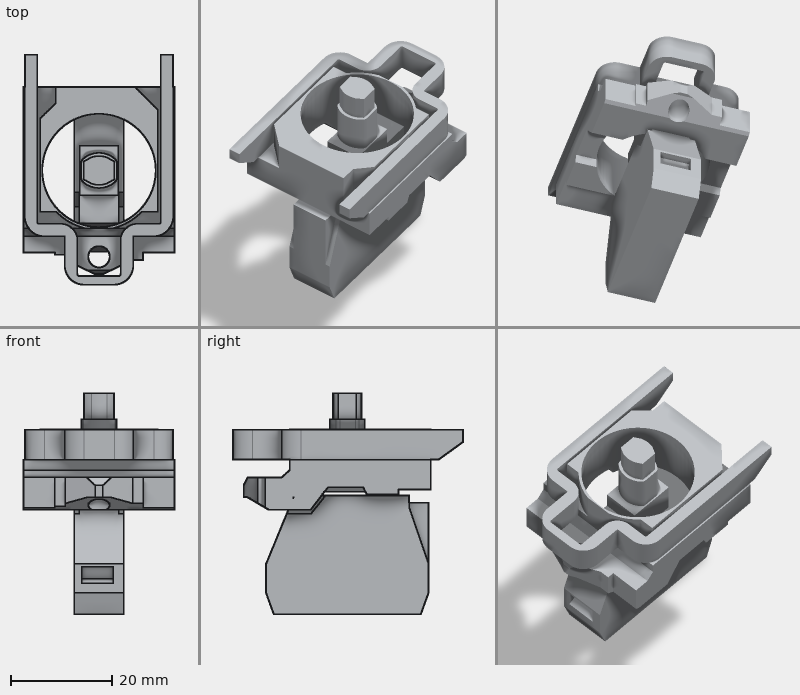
import cadquery as cq


BASE_HALF_WIDTH = 14.95
BASE_BACK = 16.5
BASE_FRONT = -11.4
HOLE_DIAMETER = 22.4
PAD_TOP = 6.05
PAD_HALF_WIDTH = 11.6
PAD_SHOULDER_Y = -8.12
PAD_RIM_RADIUS = 11.75
PAD_NOTCH_X = -8.56
PAD_NOTCH_FRONT = 13.26
PAD_NOTCH_SLOPE_END = 10.3
PAD_CHAMFER = 4.5
CHAMFER_TOP = -2.05
SHELF_TOP = -3.5
SHELF_BACK = -13.0
BASE_UNDERSIDE_BACK = -5.9
BASE_UNDERSIDE_MIDDLE = -6.9
BASE_BOTTOM = -9.9
UNDERSIDE_STEP_Y = 10.13
WINDOW_TOP = -5.43
WINDOW_BACK_BOTTOM_Y = 3.83
WINDOW_BACK_TOP_Y = 3.16
WINDOW_FRONT_TOP_Y = -3.8
BASE_BOTTOM_BACK = -7.25
BASE_BOTTOM_FRONT = -15.5
NOSE_BOTTOM = -7.4
NOSE_SLOPE_END = -19.8
NOSE_TIP = -20.5
NOSE_TIP_HALF_WIDTH = 0.77
NOSE_HALF_WIDTH = 6.63
NOSE_ROOT = -17.7
NOSE_BEVEL_START = -19.7
NOSE_BEVEL_BOTTOM = -5.05
WING_FRONT = -16.25
TAB_OUTER_X = 8.72
LEFT_TAB_FRONT = -16.7
SCREW_HOLE_DIAMETER = 4.2
SCREW_HOLE_Y = -17.05

STRAP_THICKNESS = 2.45
STRAP_HEIGHT = 5.95
STRAP_HALF_WIDTH = 14.65
STRAP_BACK = 22.88
STRAP_SHOULDER = -13.0
STRAP_FRONT = -22.6
STRAP_FRONT_THICKNESS = 1.75
STRAP_LOOP_HALF_WIDTH = 6.8
STRAP_LOOP_WALL = 2.55
STRAP_OUTER_RADIUS = 3.83
STRAP_BEND_RADIUS = 3.3
STRAP_INNER_RADIUS = 0.35
STRAP_END_HEIGHT = 2.45
STRAP_BEVEL_LENGTH = 4.85

BLOCK_HALF_WIDTH = 4.9
BLOCK_HALF_LENGTH = 16.07
BLOCK_TOP = -7.03
BLOCK_BOTTOM = -30.55
BLOCK_BOTTOM_HALF_LENGTH = 14.54
BLOCK_SIDE_TOP = -20.6
BLOCK_SIDE_BOTTOM = -26.33
BLOCK_TOP_BACK = 12.2
BLOCK_TOP_FRONT = -10.48
REAR_FACET_TOP = -9.36
REAR_RIB_TOP = -8.5
HOOK_HALF_WIDTH = 3.87
HOOK_BACK = -4.9
HOOK_TOP = SHELF_TOP
FLANK_CUT_BACK = -4.28
FLANK_CUT_KNEE = -7.2
FLANK_CUT_FLOOR = -10.72
POCKET_HALF_WIDTH = 3.15
POCKET_OFFSET_X = -0.3
POCKET_TOP = -21.1
POCKET_BOTTOM = -24.45
POCKET_VALLEY = -23.5
POCKET_DEPTH = 2.3
POCKET_CEILING_DEPTH = 1.45
PLUNGER_FOOT_HALF_WIDTH = 3.77
PLUNGER_FOOT_BACK = 4.85
PLUNGER_FOOT_BOTTOM = -6.36
PLUNGER_FOOT_TOP = 0.1
COLLAR_HALF_SIZE = 3.48
COLLAR_FLAT_END = 1.94
COLLAR_CORNER_RADIUS = 1.0
COLLAR_TOP = 8.0
STEM_HALF_WIDTH = 2.97
STEM_HALF_DEPTH = 2.84
STEM_FLAT_END = 1.8
STEM_CROWN_HALF_WIDTH = 1.5
STEM_CROWN_EDGE = 2.6
STEM_TOP = 13.15


def extrude_across(points, half_width):
    """Extrude a (Y, Z) outline symmetrically about X = 0."""
    return cq.Workplane("YZ").polyline(points).close().extrude(half_width, both=True)


def box_between(x_range, y_range, z_range):
    size = [abs(high - low) for low, high in (x_range, y_range, z_range)]
    corner = (min(x_range), min(y_range), min(z_range))
    return cq.Workplane("XY").box(*size, centered=False).translate(corner)


def base_profile_body():
    """Full-width side profile, from the shoulder down to the stepped underside."""
    return extrude_across(
        [
            (BASE_BACK, 0),
            (BASE_FRONT, 0),
            (BASE_FRONT, CHAMFER_TOP),
            (SHELF_BACK, SHELF_TOP),
            (NOSE_BEVEL_START, SHELF_TOP),
            (NOSE_TIP, NOSE_BEVEL_BOTTOM),
            (NOSE_TIP, NOSE_BOTTOM),
            (NOSE_SLOPE_END, NOSE_BOTTOM),
            (BASE_BOTTOM_FRONT, BASE_BOTTOM),
            (BASE_BOTTOM_BACK, BASE_BOTTOM),
            (WINDOW_FRONT_TOP_Y, WINDOW_TOP),
            (WINDOW_BACK_TOP_Y, WINDOW_TOP),
            (WINDOW_BACK_BOTTOM_Y, BASE_UNDERSIDE_MIDDLE),
            (UNDERSIDE_STEP_Y, BASE_UNDERSIDE_MIDDLE),
            (UNDERSIDE_STEP_Y, BASE_UNDERSIDE_BACK),
            (BASE_BACK, BASE_UNDERSIDE_BACK),
        ],
        BASE_HALF_WIDTH,
    )


def base_plan():
    """Plan outline of the base: unequal tabs beside the pointed nose."""
    outline = [
        (-BASE_HALF_WIDTH, BASE_BACK),
        (-BASE_HALF_WIDTH, WING_FRONT),
        (-TAB_OUTER_X, WING_FRONT),
        (-TAB_OUTER_X, LEFT_TAB_FRONT),
        (-NOSE_HALF_WIDTH, LEFT_TAB_FRONT),
        (-NOSE_HALF_WIDTH, NOSE_ROOT),
        (-NOSE_TIP_HALF_WIDTH, NOSE_TIP),
        (NOSE_TIP_HALF_WIDTH, NOSE_TIP),
        (NOSE_HALF_WIDTH, NOSE_ROOT),
        (TAB_OUTER_X, NOSE_ROOT),
        (TAB_OUTER_X, WING_FRONT),
        (BASE_HALF_WIDTH, WING_FRONT),
        (BASE_HALF_WIDTH, BASE_BACK),
    ]
    return cq.Workplane("XY").workplane(offset=BASE_BOTTOM).polyline(outline).close().extrude(-BASE_BOTTOM)


def base_pad():
    """Raised pad inside the strap, with a round lip around the front of the hole."""
    outline = [
        (PAD_NOTCH_X, BASE_BACK),
        (PAD_NOTCH_X, PAD_NOTCH_FRONT),
        (-PAD_HALF_WIDTH, PAD_NOTCH_SLOPE_END),
        (-PAD_HALF_WIDTH, PAD_SHOULDER_Y),
        (PAD_HALF_WIDTH, PAD_SHOULDER_Y),
        (PAD_HALF_WIDTH, BASE_BACK - PAD_CHAMFER),
        (PAD_HALF_WIDTH - PAD_CHAMFER, BASE_BACK),
    ]
    pad = cq.Workplane("XY").polyline(outline).close().extrude(PAD_TOP)
    lip_zone = box_between((-PAD_HALF_WIDTH, PAD_HALF_WIDTH), (BASE_FRONT, 0), (0, PAD_TOP))
    lip = cq.Workplane("XY").circle(PAD_RIM_RADIUS).extrude(PAD_TOP).intersect(lip_zone)
    return pad.union(lip)


def make_base(block):
    base = base_profile_body().intersect(base_plan()).union(base_pad())
    drill = cq.Workplane("XY").workplane(offset=BASE_BOTTOM)
    height = PAD_TOP - BASE_BOTTOM
    base = base.cut(drill.circle(HOLE_DIAMETER / 2).extrude(height))
    base = base.cut(drill.center(0, SCREW_HOLE_Y).circle(SCREW_HOLE_DIAMETER / 2).extrude(height))
    return base.cut(block)


def strap_prism(half_width, shoulder, front, loop_half_width):
    """Solid plan shape bounded by one face of the strap."""
    outline = [
        (-half_width, STRAP_BACK),
        (-half_width, shoulder),
        (-loop_half_width, shoulder),
        (-loop_half_width, front),
        (loop_half_width, front),
        (loop_half_width, shoulder),
        (half_width, shoulder),
        (half_width, STRAP_BACK),
    ]
    return cq.Workplane("XY").polyline(outline).close().extrude(STRAP_HEIGHT)


def round_corners(prism, half_width, shoulder, front, loop_half_width, radius):
    """Round the two shoulder corners and the two loop corners."""
    for x, y in ((half_width, shoulder), (loop_half_width, front)):
        for side in (-1, 1):
            corner = cq.selectors.NearestToPointSelector((side * x, y, STRAP_HEIGHT / 2))
            prism = prism.edges("|Z").edges(corner).fillet(radius)
    return prism


def make_strap():
    outer_size = (STRAP_HALF_WIDTH, STRAP_SHOULDER, STRAP_FRONT, STRAP_LOOP_HALF_WIDTH)
    inner_size = (
        STRAP_HALF_WIDTH - STRAP_THICKNESS,
        STRAP_SHOULDER + STRAP_THICKNESS,
        STRAP_FRONT + STRAP_FRONT_THICKNESS,
        STRAP_LOOP_HALF_WIDTH - STRAP_LOOP_WALL,
    )
    outer = round_corners(strap_prism(*outer_size), *outer_size, STRAP_OUTER_RADIUS)
    inner = round_corners(strap_prism(*inner_size), *inner_size, STRAP_INNER_RADIUS)
    for side in (-1, 1):
        bend = cq.selectors.NearestToPointSelector((side * inner_size[3], inner_size[1], STRAP_HEIGHT / 2))
        inner = inner.edges("|Z").edges(bend).fillet(STRAP_BEND_RADIUS)
    end_bevel = extrude_across(
        [
            (STRAP_BACK - STRAP_BEVEL_LENGTH, 0),
            (STRAP_BACK, 0),
            (STRAP_BACK, STRAP_HEIGHT - STRAP_END_HEIGHT),
        ],
        STRAP_HALF_WIDTH,
    )
    return outer.cut(inner).cut(end_bevel)


def block_housing():
    """Housing: full-width profile plus a narrower rear rib, with cut flanks at the front."""
    outline = [
        (BLOCK_HALF_LENGTH, BLOCK_SIDE_TOP),
        (BLOCK_HALF_LENGTH, BLOCK_SIDE_BOTTOM),
        (BLOCK_BOTTOM_HALF_LENGTH, BLOCK_BOTTOM),
        (-BLOCK_BOTTOM_HALF_LENGTH, BLOCK_BOTTOM),
        (-BLOCK_HALF_LENGTH, BLOCK_SIDE_BOTTOM),
        (-BLOCK_HALF_LENGTH, BLOCK_SIDE_TOP),
        (BLOCK_TOP_FRONT, BLOCK_TOP),
        (BLOCK_TOP_BACK, BLOCK_TOP),
        (BLOCK_TOP_BACK, REAR_FACET_TOP),
    ]
    housing = extrude_across(outline, BLOCK_HALF_WIDTH)
    flank_cut = [
        (FLANK_CUT_BACK, BLOCK_TOP),
        (FLANK_CUT_KNEE, FLANK_CUT_FLOOR),
        (-BLOCK_HALF_LENGTH, FLANK_CUT_FLOOR),
        (-BLOCK_HALF_LENGTH, BLOCK_TOP),
    ]
    core = extrude_across(flank_cut, HOOK_HALF_WIDTH)
    housing = housing.cut(extrude_across(flank_cut, BLOCK_HALF_WIDTH).cut(core))
    rear_rib = box_between(
        (-HOOK_HALF_WIDTH, HOOK_HALF_WIDTH),
        (0, BLOCK_HALF_LENGTH),
        (BLOCK_SIDE_TOP, REAR_RIB_TOP),
    )
    return housing.union(rear_rib)


def front_pocket():
    """Off-centre pocket in the front face, with a rising floor and a leaning back wall."""
    pocket = extrude_across(
        [
            (-BLOCK_HALF_LENGTH, POCKET_TOP),
            (-BLOCK_HALF_LENGTH + POCKET_CEILING_DEPTH, POCKET_TOP),
            (-BLOCK_HALF_LENGTH + POCKET_DEPTH, POCKET_VALLEY),
            (-BLOCK_HALF_LENGTH, POCKET_BOTTOM),
        ],
        POCKET_HALF_WIDTH,
    )
    return pocket.translate((POCKET_OFFSET_X, 0, 0))


def collar_prism():
    """Collar with flat sides at +-X, bowed sides at +-Y and rounded corners."""
    collar = (
        cq.Workplane("XY")
        .workplane(offset=PLUNGER_FOOT_TOP)
        .moveTo(COLLAR_HALF_SIZE, -COLLAR_FLAT_END)
        .lineTo(COLLAR_HALF_SIZE, COLLAR_FLAT_END)
        .threePointArc((0, COLLAR_HALF_SIZE), (-COLLAR_HALF_SIZE, COLLAR_FLAT_END))
        .lineTo(-COLLAR_HALF_SIZE, -COLLAR_FLAT_END)
        .threePointArc((0, -COLLAR_HALF_SIZE), (COLLAR_HALF_SIZE, -COLLAR_FLAT_END))
        .close()
        .extrude(COLLAR_TOP - PLUNGER_FOOT_TOP)
    )
    return collar.edges("|Z").fillet(COLLAR_CORNER_RADIUS)


def stem_prism():
    """Six-flat stem whose +-Y ends carry a shallow crowned face."""
    return (
        cq.Workplane("XY")
        .workplane(offset=COLLAR_TOP)
        .moveTo(STEM_HALF_WIDTH, -STEM_FLAT_END)
        .lineTo(STEM_HALF_WIDTH, STEM_FLAT_END)
        .lineTo(STEM_CROWN_HALF_WIDTH, STEM_CROWN_EDGE)
        .threePointArc((0, STEM_HALF_DEPTH), (-STEM_CROWN_HALF_WIDTH, STEM_CROWN_EDGE))
        .lineTo(-STEM_HALF_WIDTH, STEM_FLAT_END)
        .lineTo(-STEM_HALF_WIDTH, -STEM_FLAT_END)
        .lineTo(-STEM_CROWN_HALF_WIDTH, -STEM_CROWN_EDGE)
        .threePointArc((0, -STEM_HALF_DEPTH), (STEM_CROWN_HALF_WIDTH, -STEM_CROWN_EDGE))
        .close()
        .extrude(STEM_TOP - COLLAR_TOP)
    )


def plunger():
    foot = box_between(
        (-PLUNGER_FOOT_HALF_WIDTH, PLUNGER_FOOT_HALF_WIDTH),
        (HOOK_BACK, PLUNGER_FOOT_BACK),
        (PLUNGER_FOOT_BOTTOM, PLUNGER_FOOT_TOP),
    )
    return foot.union(collar_prism()).union(stem_prism())


def make_contact_block():
    hook = box_between(
        (-HOOK_HALF_WIDTH, HOOK_HALF_WIDTH),
        (BLOCK_TOP_FRONT, HOOK_BACK),
        (BLOCK_TOP, HOOK_TOP),
    )
    return block_housing().cut(front_pocket()).union(hook).union(plunger())


contact_block = make_contact_block()
base = make_base(contact_block)
strap = make_strap()

result = cq.Compound.makeCompound(
    [base.solids().val(), strap.solids().val(), contact_block.solids().val()]
)